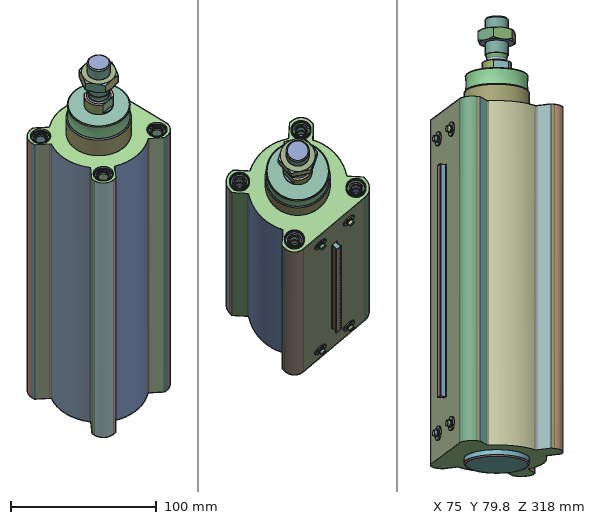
import cadquery as cq
import math

TOTAL_HEIGHT = 318.0

BARREL_BOTTOM = 4.5
BARREL_TOP = 250.0
BARREL_RADIUS = 34.5
BACK_FACE_Y = 37.5
BOLT_OFFSET = 28.3
LOBE_RADIUS = BACK_FACE_Y - BOLT_OFFSET
LOBE_HALF_WIDTH = 8.3
LOBE_BLEND_RADIUS = 1.0
BARREL_MID = (BARREL_BOTTOM + BARREL_TOP) / 2

RECESS_DIAMETER = 14.0
RECESS_FLOOR_DIAMETER = 13.0
RECESS_DEPTH = 1.0
SOCKET_DIAMETER = 12.0
SOCKET_DEPTH = 2.0
SEAT_DIAMETER = 10.0
SEAT_DEPTH = 3.0
THREAD_MOUTH_DIAMETER = 8.0
THREAD_DIAMETER = 6.7
DRILL_DIAMETER = 5.5
THREAD_DEPTH = 9.5
DRILL_DEPTH = 16.0
DRILL_POINT_ANGLE = 118.0

COLLAR_DIAMETER = 45.0
COLLAR_STEP_Z = 266.0
COLLAR_STEP_CONE_HEIGHT = 1.0
COLLAR_TOP = 277.5
COLLAR_RIM_DIAMETER = 43.3
COLLAR_WAIST_DIAMETER = 42.3
COLLAR_CHAMFER = 0.5
BOSS_CHAMFER = 1.0

FITTING_X = 13.0
FITTING_END_DISTANCE = 17.8
FITTING_FLANGE_DIAMETER = 10.0
FITTING_FLANGE_HEIGHT = 1.0
FITTING_SHOULDER_DIAMETER = 5.5
FITTING_SHOULDER_HEIGHT = 1.5
FITTING_STUD_DIAMETER = 4.0
FITTING_STUD_HEIGHT = 3.8
RAIL_LENGTH = 165.5
RAIL_HEIGHT = 4.8
RAIL_FLANGE_WIDTH = 5.0
RAIL_FLANGE_THICKNESS = 0.5
RAIL_WEB_WIDTH = 3.5

ROD_DIAMETER = 20.0
ROD_FLATS_WIDTH = 17.0
ROD_FLATS_BOTTOM = 278.3
ROD_SHOULDER_Z = 286.3
NECK_DIAMETER = 14.0
SHOULDER_CONE_TOP_DIAMETER = 15.0
SHOULDER_CONE_HEIGHT = 1.0
NECK_TOP = 289.0
RUNOUT_DIAMETER = 15.0
THREAD_BOTTOM = 292.0
ROD_THREAD_DIAMETER = 16.0
ROD_TIP_DIAMETER = 14.3
ROD_TIP_CHAMFER = 1.0

NUT_WIDTH = 24.0
NUT_BOTTOM = 300.5
NUT_HEIGHT = 8.3
NUT_CHAMFER_ANGLE = 30.0

CORNERS = [(x, y) for x in (-BOLT_OFFSET, BOLT_OFFSET) for y in (-BOLT_OFFSET, BOLT_OFFSET)]


def revolve_about_z(profile):
    """Full turn about Z of a closed profile drawn as (radius, height)."""
    return profile.close().revolve(360, (0, 0, 0), (0, 1, 0))


def make_corner_lobe(x, y):
    """Square-sided arm along the diagonal, rounded to the bolt circle and cut off at the lobe edges."""
    arm_length = math.hypot(x, y) + LOBE_RADIUS
    height = BARREL_TOP - BARREL_BOTTOM
    arm = (
        cq.Workplane("XY", origin=(0, 0, BARREL_BOTTOM))
        .transformed(rotate=(0, 0, math.degrees(math.atan2(y, x))))
        .center(arm_length / 2, 0)
        .rect(arm_length, 2 * LOBE_HALF_WIDTH)
        .extrude(height)
    )
    edge = 2 * BACK_FACE_Y
    outline = (
        cq.Workplane("XY", origin=(0, 0, BARREL_BOTTOM))
        .rect(edge, edge)
        .extrude(height)
        .edges("|Z")
        .fillet(LOBE_RADIUS)
    )
    return arm.intersect(outline)


def make_barrel():
    height = BARREL_TOP - BARREL_BOTTOM
    base = cq.Workplane("XY", origin=(0, 0, BARREL_BOTTOM))
    barrel = base.circle(BARREL_RADIUS).extrude(height)
    for x, y in CORNERS:
        barrel = barrel.union(make_corner_lobe(x, y))
    wall = (
        base.center(0, (BOLT_OFFSET + BACK_FACE_Y) / 2)
        .rect(2 * BOLT_OFFSET, LOBE_RADIUS)
        .extrude(height)
    )
    barrel = barrel.union(wall)

    outer = BACK_FACE_Y
    outer_across = outer - math.sqrt(2) * LOBE_HALF_WIDTH
    along_diagonal = math.sqrt(BARREL_RADIUS**2 - LOBE_HALF_WIDTH**2)
    inner = (along_diagonal + LOBE_HALF_WIDTH) / math.sqrt(2)
    inner_across = (along_diagonal - LOBE_HALF_WIDTH) / math.sqrt(2)
    for x, y in ((outer, outer_across), (inner, inner_across)):
        for side in (-1, 1):
            side_corners = [(side * x, y), (side * x, -y), (side * y, -x)]
            for corner_x, corner_y in side_corners:
                edge = cq.selectors.NearestToPointSelector((corner_x, corner_y, BARREL_MID))
                barrel = barrel.edges("|Z").edges(edge).fillet(LOBE_BLEND_RADIUS)
    return barrel


def make_collar():
    radius = COLLAR_DIAMETER / 2
    rim = COLLAR_RIM_DIAMETER / 2
    waist_z = (COLLAR_STEP_Z + COLLAR_TOP) / 2
    return revolve_about_z(
        cq.Workplane("XZ")
        .moveTo(0, BARREL_TOP)
        .lineTo(radius, BARREL_TOP)
        .lineTo(radius, COLLAR_STEP_Z - COLLAR_STEP_CONE_HEIGHT)
        .lineTo(rim, COLLAR_STEP_Z)
        .threePointArc((COLLAR_WAIST_DIAMETER / 2, waist_z), (rim, COLLAR_TOP - COLLAR_CHAMFER))
        .lineTo(rim - COLLAR_CHAMFER, COLLAR_TOP)
        .lineTo(0, COLLAR_TOP)
    )


def make_locating_boss():
    boss = cq.Workplane("XY").circle(COLLAR_DIAMETER / 2).extrude(BARREL_BOTTOM)
    return boss.faces("<Z").chamfer(BOSS_CHAMFER)


def make_lobe_hole():
    """Cutter for one lobe: stepped recess, threaded hole and a drilled cone-ended tip."""
    thread_lead_in = (THREAD_MOUTH_DIAMETER - THREAD_DIAMETER) / 2
    drill_radius = DRILL_DIAMETER / 2
    point_height = drill_radius / math.tan(math.radians(DRILL_POINT_ANGLE / 2))
    return revolve_about_z(
        cq.Workplane("XZ", origin=(0, 0, BARREL_TOP))
        .lineTo(RECESS_DIAMETER / 2, 0)
        .lineTo(RECESS_FLOOR_DIAMETER / 2, -RECESS_DEPTH)
        .lineTo(SOCKET_DIAMETER / 2, -RECESS_DEPTH)
        .lineTo(SOCKET_DIAMETER / 2, -SOCKET_DEPTH)
        .lineTo(SEAT_DIAMETER / 2, -SOCKET_DEPTH)
        .lineTo(SEAT_DIAMETER / 2, -SEAT_DEPTH)
        .lineTo(THREAD_MOUTH_DIAMETER / 2, -SEAT_DEPTH)
        .lineTo(THREAD_DIAMETER / 2, -SEAT_DEPTH - thread_lead_in)
        .lineTo(THREAD_DIAMETER / 2, -THREAD_DEPTH)
        .lineTo(drill_radius, -THREAD_DEPTH)
        .lineTo(drill_radius, -DRILL_DEPTH)
        .lineTo(0, -DRILL_DEPTH - point_height)
    )


def make_fitting(x, z):
    """Stepped round fitting standing on the back face."""
    face = cq.Workplane("XZ", origin=(x, BACK_FACE_Y, z))
    flange = face.circle(FITTING_FLANGE_DIAMETER / 2).extrude(-FITTING_FLANGE_HEIGHT)
    shoulder = face.circle(FITTING_SHOULDER_DIAMETER / 2).extrude(-FITTING_SHOULDER_HEIGHT)
    stud = face.circle(FITTING_STUD_DIAMETER / 2).extrude(-FITTING_STUD_HEIGHT)
    return flange.union(shoulder).union(stud)


def make_rail():
    """I-section rail along the middle of the back face."""
    base = cq.Workplane("XY", origin=(0, BACK_FACE_Y, BARREL_MID - RAIL_LENGTH / 2))
    rail = base.center(0, RAIL_HEIGHT / 2).rect(RAIL_WEB_WIDTH, RAIL_HEIGHT).extrude(RAIL_LENGTH)
    for y in (RAIL_FLANGE_THICKNESS / 2, RAIL_HEIGHT - RAIL_FLANGE_THICKNESS / 2):
        flange = base.center(0, y).rect(RAIL_FLANGE_WIDTH, RAIL_FLANGE_THICKNESS).extrude(RAIL_LENGTH)
        rail = rail.union(flange)
    return rail


def make_housing():
    housing = make_barrel().union(make_collar()).union(make_locating_boss()).union(make_rail())
    for x in (-FITTING_X, FITTING_X):
        for z in (BARREL_BOTTOM + FITTING_END_DISTANCE, BARREL_TOP - FITTING_END_DISTANCE):
            housing = housing.union(make_fitting(x, z))
    for x, y in CORNERS:
        housing = housing.cut(make_lobe_hole().translate((x, y, 0)))
    bore = (
        cq.Workplane("XY", origin=(0, 0, BARREL_TOP))
        .circle(ROD_DIAMETER / 2)
        .extrude(COLLAR_TOP - BARREL_TOP)
    )
    return housing.cut(bore)


def make_piston_rod():
    rod_radius = ROD_DIAMETER / 2
    neck_radius = NECK_DIAMETER / 2
    cone_top = ROD_SHOULDER_Z + SHOULDER_CONE_HEIGHT
    thread_radius = ROD_THREAD_DIAMETER / 2
    rod = revolve_about_z(
        cq.Workplane("XZ")
        .moveTo(0, BARREL_TOP)
        .lineTo(rod_radius, BARREL_TOP)
        .lineTo(rod_radius, ROD_SHOULDER_Z)
        .lineTo(ROD_FLATS_WIDTH / 2, ROD_SHOULDER_Z)
        .lineTo(SHOULDER_CONE_TOP_DIAMETER / 2, cone_top)
        .lineTo(neck_radius, cone_top)
        .lineTo(neck_radius, NECK_TOP)
        .lineTo(RUNOUT_DIAMETER / 2, THREAD_BOTTOM)
        .lineTo(thread_radius, THREAD_BOTTOM)
        .lineTo(thread_radius, TOTAL_HEIGHT - ROD_TIP_CHAMFER)
        .lineTo(ROD_TIP_DIAMETER / 2, TOTAL_HEIGHT)
        .lineTo(0, TOTAL_HEIGHT)
    )
    flats_height = ROD_SHOULDER_Z - ROD_FLATS_BOTTOM
    for side in (-1, 1):
        waste = (
            cq.Workplane("XY", origin=(side * (ROD_FLATS_WIDTH + rod_radius) / 2, 0, ROD_FLATS_BOTTOM))
            .rect(rod_radius, ROD_DIAMETER)
            .extrude(flats_height)
        )
        rod = rod.cut(waste)
    return rod


def make_lock_nut():
    """Hexagon nut with corners on the Y axis, both faces chamfered to the inscribed circle."""
    corner_radius = NUT_WIDTH / 2 / math.cos(math.pi / 6)
    face_radius = NUT_WIDTH / 2
    chamfer_height = (corner_radius - face_radius) * math.tan(math.radians(NUT_CHAMFER_ANGLE))
    nut_top = NUT_BOTTOM + NUT_HEIGHT
    hexagon = (
        cq.Workplane("XY", origin=(0, 0, NUT_BOTTOM))
        .transformed(rotate=(0, 0, 90))
        .polygon(6, 2 * corner_radius)
        .extrude(NUT_HEIGHT)
    )
    envelope = revolve_about_z(
        cq.Workplane("XZ")
        .moveTo(0, NUT_BOTTOM)
        .lineTo(face_radius, NUT_BOTTOM)
        .lineTo(corner_radius, NUT_BOTTOM + chamfer_height)
        .lineTo(corner_radius, nut_top - chamfer_height)
        .lineTo(face_radius, nut_top)
        .lineTo(0, nut_top)
    )
    bore = (
        cq.Workplane("XY", origin=(0, 0, NUT_BOTTOM))
        .circle(ROD_THREAD_DIAMETER / 2)
        .extrude(NUT_HEIGHT)
    )
    return hexagon.intersect(envelope).cut(bore)


housing = make_housing()
piston_rod = make_piston_rod()
lock_nut = make_lock_nut()

result = cq.Compound.makeCompound([housing.val(), piston_rod.val(), lock_nut.val()])